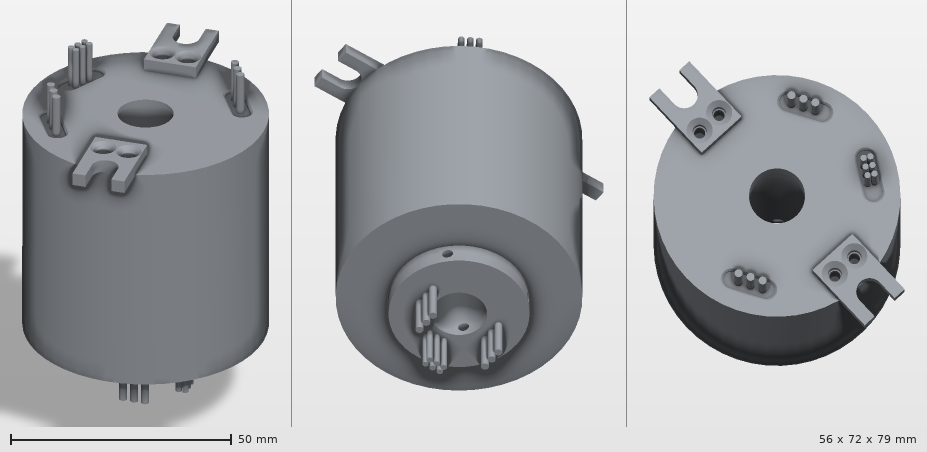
import cadquery as cq
import math

total_height = 79.0
total_width = 72.0
housing_height = 54.8
neck_height = 0.5
collar_height = 5.2
bottom_wire_length = 9.5
top_wire_length = total_height - bottom_wire_length - collar_height - neck_height - housing_height
collar_bottom = -neck_height - collar_height

housing_diameter = 56.0
lid_diameter = 53.0
hub_diameter = 15.95
bore_diameter = 12.7
neck_diameter = 28.05
collar_diameter = 32.0

tab_width = 12.3
tab_length = 17.45
tab_thickness = 3.0
tab_slot_width = 6.2
tab_slot_depth = 8.05
tab_hole_spacing = 6.0
tab_hole_offset = 22.6
tab_hole_diameter = 3.2
countersink_diameter = 5.9
countersink_angle = 90
tapped_hole_diameter = 2.5
tapped_hole_depth = 6.0
drill_tip_angle = 118

slot_radius_position = 21.5
slot_length = 13.2
slot_width = 5.05
slot_chamfer = 0.5
slot_depth = 0.95
thick_wire_diameter = 1.8
thin_wire_diameter = 1.4
thin_row_spacing = 1.6
top_thick_pitch = 2.85
top_thin_pitch = 2.05
top_wire_shift = 0.4
bottom_wire_radius_position = 9.25
bottom_thick_pitch = 2.6
bottom_thin_pitch = 2.0
bottom_wire_shift = 0.15
wires_per_row = 3

top_thick_angles = (30, 210)
top_thin_angle = 150
bottom_thick_angles = (90, 270)
bottom_thin_angle = 0
set_screw_angles = (45, 135, 225, 315)
tab_angles = (0, 180)

set_screw_diameter = 2.5


def turn(shape, angle):
    return shape.rotate((0, 0, 0), (0, 0, 1), angle)


def cylinder(diameter, bottom, height):
    return cq.Workplane("XY").workplane(offset=bottom).circle(diameter / 2).extrude(height)


def make_body():
    """Housing, lid and hub with flush tops, above a narrow neck and the clamping collar."""
    housing = cylinder(housing_diameter, 0, housing_height).cut(cylinder(lid_diameter, 0, housing_height))
    lid = cylinder(lid_diameter, 0, housing_height).cut(cylinder(hub_diameter, 0, housing_height))
    hub = cylinder(hub_diameter, collar_bottom, housing_height - collar_bottom)
    neck = cylinder(neck_diameter, -neck_height, neck_height)
    collar = cylinder(collar_diameter, collar_bottom, collar_height)
    body = housing
    for piece in (lid, hub, neck, collar):
        body = body.union(piece, clean=False)
    return body.cut(cylinder(bore_diameter, collar_bottom, housing_height - collar_bottom), clean=False)


def make_set_screw_hole(angle):
    """Radial hole from the collar rim into the bore."""
    hole = (
        cq.Workplane("YZ")
        .center(0, collar_bottom + collar_height / 2)
        .circle(set_screw_diameter / 2)
        .extrude(collar_diameter)
    )
    return turn(hole, angle)


def make_cable_slot(angle):
    """Shallow rounded slot with a chamfered rim, lying across the given direction."""
    slot = (
        cq.Workplane("XY")
        .workplane(offset=housing_height - slot_depth)
        .center(slot_radius_position, 0)
        .slot2D(slot_length - 2 * slot_chamfer, slot_width - 2 * slot_chamfer, 90)
        .extrude(slot_depth)
    )
    rim = (
        cq.Workplane("XY")
        .workplane(offset=housing_height)
        .center(slot_radius_position, 0)
        .slot2D(slot_length, slot_width, 90)
        .extrude(-slot_chamfer, taper=45)
    )
    return turn(slot.union(rim), angle)


def make_tab():
    """Forked mounting tab on the +Y side with two countersunk holes."""
    tip = total_width / 2
    tab = (
        cq.Workplane("XY")
        .box(tab_width, tab_length, tab_thickness, centered=(True, False, False))
        .translate((0, tip - tab_length, housing_height))
    )
    fork = (
        cq.Workplane("XY")
        .workplane(offset=housing_height)
        .center(0, tip)
        .slot2D(2 * tab_slot_depth, tab_slot_width, 90)
        .extrude(tab_thickness)
    )
    return (
        tab.cut(fork)
        .faces(">Z")
        .workplane(origin=(0, tab_hole_offset, 0))
        .pushPoints([(-tab_hole_spacing / 2, 0), (tab_hole_spacing / 2, 0)])
        .cskHole(tab_hole_diameter, countersink_diameter, countersink_angle)
    )


def make_tapped_hole(side):
    """Blind hole with a conical drill tip, below one tab hole on the +Y side."""
    radius = tapped_hole_diameter / 2
    tip_height = radius / math.tan(math.radians(drill_tip_angle / 2))
    profile = [(0, 0), (radius, 0), (radius, -tapped_hole_depth), (0, -tapped_hole_depth - tip_height)]
    return (
        cq.Workplane("XZ")
        .polyline(profile)
        .close()
        .revolve(360, (0, 0, 0), (0, 1, 0))
        .translate((side * tab_hole_spacing / 2, tab_hole_offset, housing_height))
    )


def make_wires(diameter, rows, pitch, position, shift, angle, bottom, height):
    """Rows of wires across the given direction, stacked radially about one distance from the axis."""
    wires = (
        cq.Workplane("XY")
        .workplane(offset=bottom)
        .center(position, shift)
        .rarray(thin_row_spacing, pitch, rows, wires_per_row)
        .circle(diameter / 2)
        .extrude(height)
    )
    return turn(wires, angle)


def make_top_wires(diameter, rows, pitch, angle):
    return make_wires(
        diameter, rows, pitch, slot_radius_position, top_wire_shift, angle,
        housing_height - slot_depth, slot_depth + top_wire_length,
    )


def make_bottom_wires(diameter, rows, pitch, angle):
    return make_wires(
        diameter, rows, pitch, bottom_wire_radius_position, bottom_wire_shift, angle,
        collar_bottom - bottom_wire_length, bottom_wire_length,
    )


cuts = [make_set_screw_hole(angle) for angle in set_screw_angles]
cuts += [make_cable_slot(angle) for angle in (*top_thick_angles, top_thin_angle)]
additions = []
for tab_angle in tab_angles:
    additions.append(turn(make_tab(), tab_angle))
    cuts += [turn(make_tapped_hole(side), tab_angle) for side in (-1, 1)]

additions += [make_top_wires(thick_wire_diameter, 1, top_thick_pitch, angle) for angle in top_thick_angles]
additions.append(make_top_wires(thin_wire_diameter, 2, top_thin_pitch, top_thin_angle))
additions += [
    make_bottom_wires(thick_wire_diameter, 1, bottom_thick_pitch, angle) for angle in bottom_thick_angles
]
additions.append(make_bottom_wires(thin_wire_diameter, 2, bottom_thin_pitch, bottom_thin_angle))

result = make_body()
for cut in cuts:
    result = result.cut(cut, clean=False)
for addition in additions:
    result = result.union(addition, clean=False)